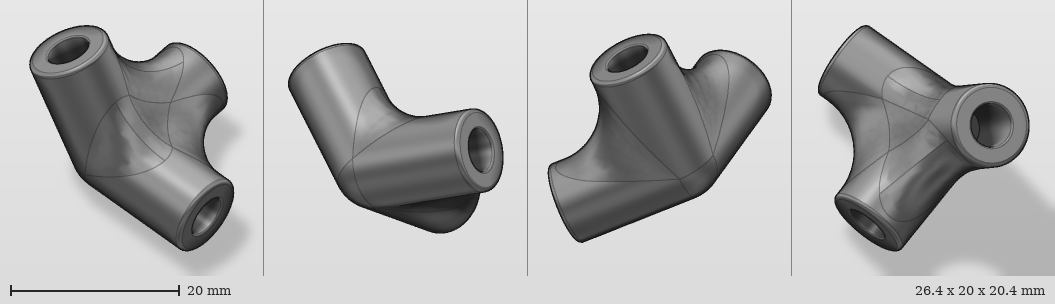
import cadquery as cq
import math

arm_length = 15.0
arm_radius = 5.0
rim_fillet = 0.5
crease_fillet = 8.88

socket_radius = 2.6
socket_depth = 10.0
mouth_fillet = 0.2

raised_arm_angle = math.radians(118.7)
centre = cq.Vector(0, 0, 0)
arm_directions = [
    cq.Vector(1, 0, 0),
    cq.Vector(0, 1, 0),
    cq.Vector(math.cos(raised_arm_angle), 0, math.sin(raised_arm_angle)),
]


def make_arm(direction):
    """Solid round arm from the common centre."""
    return cq.Workplane(cq.Solid.makeCylinder(arm_radius, arm_length, centre, direction))


def make_socket(direction):
    """Round bore that runs inwards from the end of an arm."""
    mouth = direction * arm_length
    return cq.Workplane(cq.Solid.makeCylinder(socket_radius, socket_depth, mouth, -direction))


body = cq.Workplane().sphere(arm_radius)
for direction in arm_directions:
    body = body.union(make_arm(direction))

body = body.edges("%ELLIPSE").fillet(crease_fillet)
body = body.faces("%PLANE").edges().fillet(rim_fillet)

for direction in arm_directions:
    body = body.cut(make_socket(direction))
    mouth = (direction * arm_length).toTuple()
    end_ring = body.faces("%PLANE").faces(cq.selectors.NearestToPointSelector(mouth))
    mouth_edge = end_ring.edges(cq.selectors.RadiusNthSelector(0))
    body = mouth_edge.fillet(mouth_fillet)

result = body